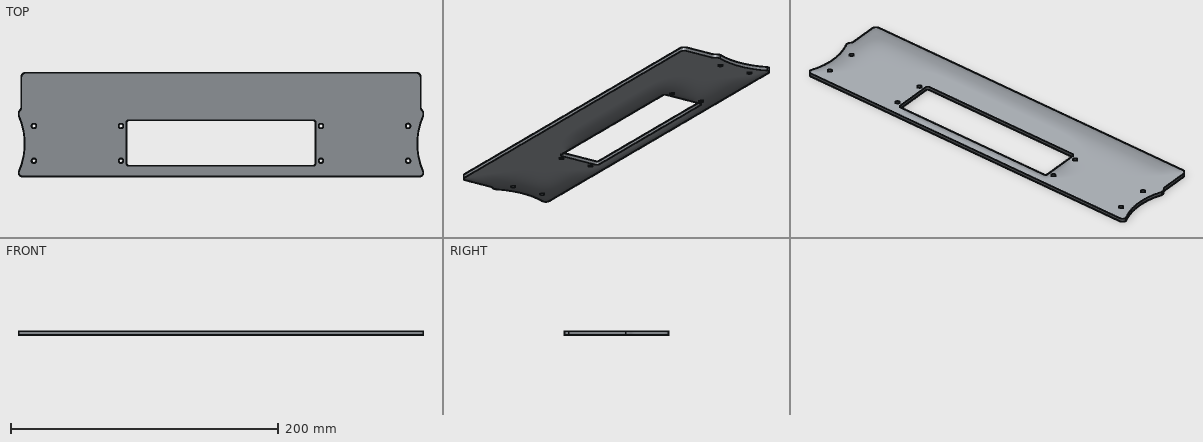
import cadquery as cq

length = 303.0
depth = 78.0
thickness = 3.0

rear_length = 299.0
shoulder_front_y = 47.3
shoulder_rear_y = 51.8
scallop_center_y = 24.5
scallop_width = 42.5
scallop_depth = 4.5
rear_corner_radius = 3.5
front_corner_radius = 3.0

window_length = 141.2
window_depth = 34.0
window_center_y = 25.0
window_corner_radius = 1.5

hole_diameter = 3.3
hole_center_y = 24.8
hole_row_spacing = 26.0
inner_column_spacing = 149.7
outer_column_spacing = 280.0


def make_plate():
    half_length = length / 2
    half_rear = rear_length / 2
    scallop_front_y = scallop_center_y - scallop_width / 2
    scallop_rear_y = scallop_center_y + scallop_width / 2
    shoulder_middle = ((half_length + half_rear) / 2, (shoulder_front_y + shoulder_rear_y) / 2)
    right_half = (
        cq.Workplane("XY")
        .lineTo(half_length, 0)
        .lineTo(half_length, scallop_front_y)
        .threePointArc((half_length - scallop_depth, scallop_center_y), (half_length, scallop_rear_y))
        .lineTo(half_length, shoulder_front_y)
        .tangentArcPoint(shoulder_middle, relative=False)
        .tangentArcPoint((half_rear, shoulder_rear_y), relative=False)
        .lineTo(half_rear, depth)
        .lineTo(0, depth)
        .close()
        .extrude(thickness)
    )
    right_half = right_half.edges("|Z").edges(">Y").edges(">X").fillet(rear_corner_radius)
    right_half = right_half.edges("|Z").edges("<Y").edges(">X").fillet(front_corner_radius)
    return right_half.union(right_half.mirror("YZ")).clean()


def make_window():
    return (
        cq.Workplane("XY")
        .center(0, window_center_y)
        .rect(window_length, window_depth)
        .extrude(thickness)
        .edges("|Z")
        .fillet(window_corner_radius)
    )


def make_holes(column_spacing):
    return (
        cq.Workplane("XY")
        .center(0, hole_center_y)
        .rect(column_spacing, hole_row_spacing, forConstruction=True)
        .vertices()
        .circle(hole_diameter / 2)
        .extrude(thickness)
    )


result = make_plate().cut(make_window())
for column_spacing in (inner_column_spacing, outer_column_spacing):
    result = result.cut(make_holes(column_spacing))